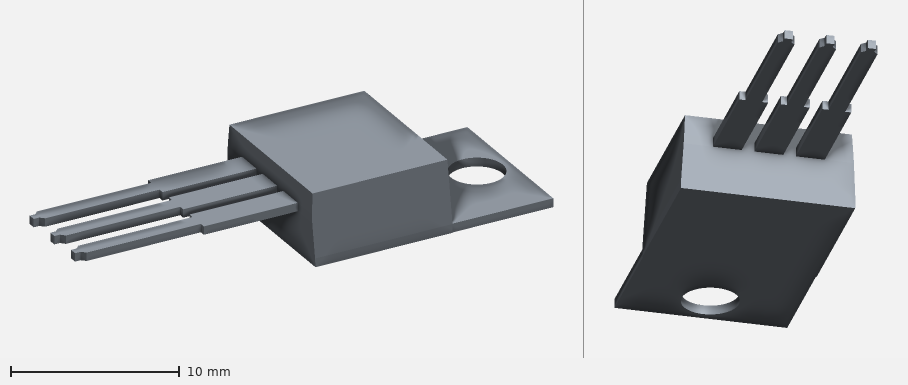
import cadquery as cq
import math

total_length = 31.0
total_height = 4.83

tab_width = 10.57
tab_thickness = 0.6
tab_embed = 0.3
hole_diameter = 3.5
hole_to_tab_end = 2.25

body_width = 10.65
body_front = 14.72
body_back = 24.15
draft = math.tan(math.radians(3))

lead_count = 3
lead_pitch = 2.55
lead_thickness = 0.55
lead_bottom = 2.9
lead_top = lead_bottom + lead_thickness
shank_width = 1.77
pin_width = 1.02
tip_width = 0.5
shoulder_y = 8.37
tip_length = 0.37
lead_embed = 0.3

front_top = body_front + draft * (total_height - lead_top)
front_bottom = body_front + draft * lead_bottom


def make_body():
    """Intersect the drafted side profile with the drafted front profile."""
    inset = draft * (total_height - tab_thickness)
    half_width = body_width / 2
    side_profile = (
        cq.Workplane("YZ")
        .polyline([
            (front_bottom, 0),
            (body_front, lead_bottom),
            (body_front, lead_top),
            (front_top, total_height),
            (body_back - inset, total_height),
            (body_back, tab_thickness),
            (body_back, 0),
        ])
        .close()
        .extrude(half_width, both=True)
    )
    front_profile = (
        cq.Workplane("XZ")
        .polyline([
            (-half_width, 0),
            (half_width, 0),
            (half_width, tab_thickness),
            (half_width - inset, total_height),
            (-half_width + inset, total_height),
            (-half_width, tab_thickness),
        ])
        .close()
        .extrude(-total_length)
    )
    return side_profile.intersect(front_profile)


def make_tab():
    """Flat plate through the foot of the body, with the mounting hole in its free end."""
    tab_length = total_length - front_bottom - tab_embed
    tab = (
        cq.Workplane("XY", origin=(0, total_length - tab_length, 0))
        .box(tab_width, tab_length, tab_thickness, centered=(True, False, False))
    )
    hole = (
        cq.Workplane("XY")
        .center(0, total_length - hole_to_tab_end)
        .circle(hole_diameter / 2)
        .extrude(tab_thickness)
    )
    return tab.cut(hole)


def make_lead(center_x):
    """Wide shank, narrow pin and a tip with 45 degree shoulders."""
    pin_end = tip_length + (pin_width - tip_width) / 2
    return (
        cq.Workplane("XY", origin=(0, 0, lead_bottom))
        .polyline([
            (0, 0),
            (tip_width / 2, 0),
            (tip_width / 2, tip_length),
            (pin_width / 2, pin_end),
            (pin_width / 2, shoulder_y),
            (shank_width / 2, shoulder_y),
            (shank_width / 2, body_front + lead_embed),
            (0, body_front + lead_embed),
        ])
        .close()
        .extrude(lead_thickness)
        .mirror("YZ", union=True)
        .translate((center_x, 0, 0))
    )


result = make_body().union(make_tab())
for index in range(lead_count):
    lead_x = (index - (lead_count - 1) / 2) * lead_pitch
    result = result.union(make_lead(lead_x))
result = result.clean()